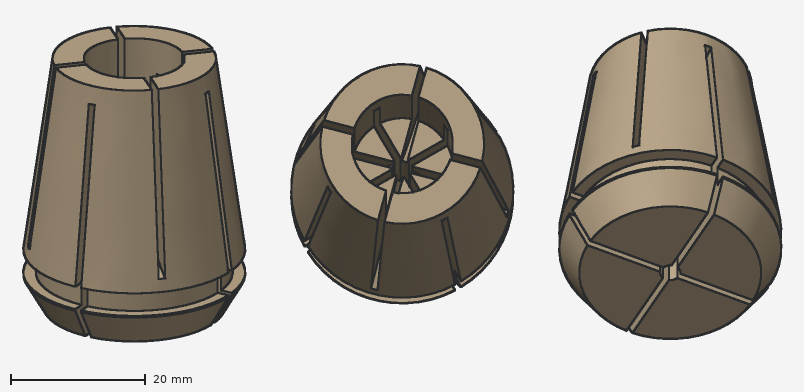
import cadquery as cq
import math

height = 40.0
max_diameter = 33.0
taper_angle = 8.0

nose_angle = 30.0
flange_edge_bottom = 5.15
flange_top = 5.45
groove_diameter = 29.3
groove_top = 9.1

clamping_diameter = 3.0
relief_diameter = 15.0
relief_depth = 16.0

slot_width = 1.0
slots_per_side = 4
saw_radius = 22.1
saw_center_radius = 20.5
lower_slot_peak = 38.65
upper_slot_depth = 29.3

max_radius = max_diameter / 2
groove_radius = groove_diameter / 2
top_radius = max_radius - (height - groove_top) * math.tan(math.radians(taper_angle))
bottom_radius = max_radius - flange_edge_bottom * math.tan(math.radians(nose_angle))


def make_body():
    """Revolve the half outline about Z, then cut the two bores."""
    outline = [
        (0, 0),
        (bottom_radius, 0),
        (max_radius, flange_edge_bottom),
        (max_radius, flange_top),
        (groove_radius, flange_top),
        (groove_radius, groove_top),
        (max_radius, groove_top),
        (top_radius, height),
        (0, height),
    ]
    body = cq.Workplane("XZ").polyline(outline).close().revolve(360, (0, 0, 0), (0, 1, 0))
    clamping_bore = cq.Workplane("XY").circle(clamping_diameter / 2).extrude(height)
    relief_bore = (
        cq.Workplane("XY")
        .workplane(offset=height - relief_depth)
        .circle(relief_diameter / 2)
        .extrude(relief_depth)
    )
    return body.cut(clamping_bore).cut(relief_bore)


def make_slot_cutter(reach):
    """Radial cutter along +X, rising from Z = 0 to the saw arc that peaks at the given reach."""
    saw_center_height = reach - saw_radius

    def arc_height(radius):
        return saw_center_height + math.sqrt(saw_radius**2 - (saw_center_radius - radius) ** 2)

    middle_radius = saw_center_radius / 2
    return (
        cq.Workplane("XZ")
        .moveTo(0, 0)
        .lineTo(saw_center_radius, 0)
        .lineTo(saw_center_radius, reach)
        .threePointArc((middle_radius, arc_height(middle_radius)), (0, arc_height(0)))
        .close()
        .extrude(slot_width / 2, both=True)
    )


lower_cutter = make_slot_cutter(lower_slot_peak)
upper_cutter = make_slot_cutter(upper_slot_depth).mirror("XY").translate((0, 0, height))

slot_spacing = 360 / slots_per_side
result = make_body()
for index in range(slots_per_side):
    angle = index * slot_spacing
    result = result.cut(lower_cutter.rotate((0, 0, 0), (0, 0, 1), angle))
    result = result.cut(upper_cutter.rotate((0, 0, 0), (0, 0, 1), angle + slot_spacing / 2))